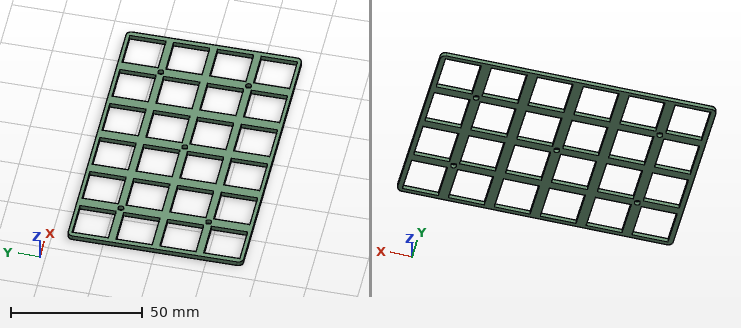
import cadquery as cq

plate_length = 108.0
plate_width = 68.0
plate_thickness = 2.0
corner_radius = 2.0

columns = 6
rows = 4
column_pitch = plate_length / columns
row_pitch = plate_width / rows
opening_side = 14.0

screw_hole_diameter = 2.2
screw_offset_x = (columns / 2 - 1) * column_pitch
screw_offset_y = (rows / 2 - 1) * row_pitch


def make_plate():
    """Flat sheet with rounded vertical corners, resting on Z = 0."""
    plate = cq.Workplane("XY").rect(plate_length, plate_width).extrude(plate_thickness)
    return plate.edges("|Z").fillet(corner_radius)


def make_key_openings():
    """Square through-cutters, one per grid cell."""
    grid = cq.Workplane("XY").rarray(column_pitch, row_pitch, columns, rows)
    return grid.rect(opening_side, opening_side).extrude(plate_thickness)


def make_screw_holes():
    """Round through-cutters at the centre and the four outer crossings."""
    centres = [(0, 0)]
    for side_x in (-1, 1):
        for side_y in (-1, 1):
            centres.append((side_x * screw_offset_x, side_y * screw_offset_y))
    holes = cq.Workplane("XY").pushPoints(centres)
    return holes.circle(screw_hole_diameter / 2).extrude(plate_thickness)


result = make_plate().cut(make_key_openings()).cut(make_screw_holes())